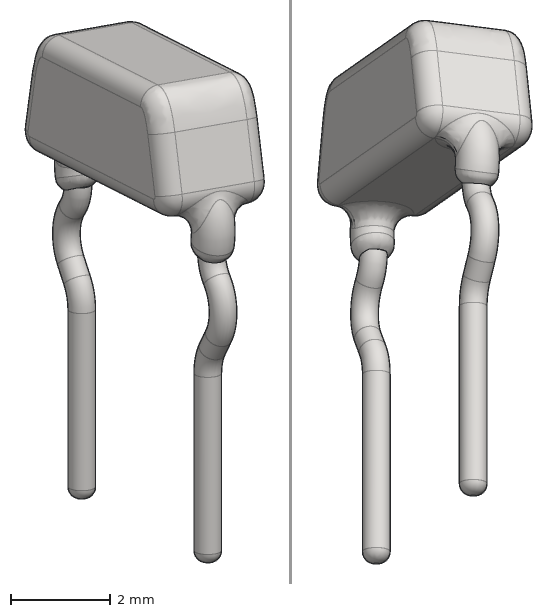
import cadquery as cq
import math

TOTAL_HEIGHT = 10.07
BODY_DEPTH = 2.5
BODY_BOTTOM = 7.45
BOTTOM_HALF_WIDTH = 3.05
FLANK_ANGLE = 13.0
TOP_FLAT_HALF_WIDTH = 1.95
SHOULDER_DROP = 0.82
EDGE_RADIUS = 0.4
BOTTOM_CORNER_RADIUS = 0.46

OVERALL_WIDTH = 6.8
LEAD_RADIUS = 0.28
LEAD_X = 2.51
STRAIGHT_TOP = 3.99
TIP_RADIUS = 0.24
BEND_X = OVERALL_WIDTH / 2 - LEAD_RADIUS
KINK_ANGLE = 36.0
RETURN_ANGLE = 43.0
LOWER_BEND_RADIUS = 0.96
OUTER_BEND_RADIUS = 0.91
UPPER_BEND_RADIUS = 0.81

COLLAR_RADIUS = 0.44
COLLAR_BOTTOM = (2.59, 6.51)
COLLAR_MIDDLE = (2.72, 7.15)
COLLAR_TOP = (2.32, 7.9)
COLLAR_END_RADIUS = 0.3
ROOT_FILLET = 0.4

SEAM_INNER_X = 1.51
SEAM_OUTER_X = 3.52
SEAM_HALF_DEPTH = 0.55
SEAM_LOW_Z = 7.4
SEAM_HIGH_Z = 8.56


def flank_x(z):
    """Half width of the unrounded body at height z."""
    return BOTTOM_HALF_WIDTH - (z - BODY_BOTTOM) * math.tan(math.radians(FLANK_ANGLE))


def make_body():
    """Tapered block with soft shoulders and rounded edges all round."""
    shoulder_z = TOTAL_HEIGHT - SHOULDER_DROP
    shoulder_x = flank_x(shoulder_z)
    corner_x = flank_x(TOTAL_HEIGHT)
    body = (
        cq.Workplane("XZ", origin=(0, BODY_DEPTH / 2, 0))
        .moveTo(-BOTTOM_HALF_WIDTH, BODY_BOTTOM)
        .lineTo(BOTTOM_HALF_WIDTH, BODY_BOTTOM)
        .lineTo(shoulder_x, shoulder_z)
        .bezier([
            (shoulder_x, shoulder_z),
            (corner_x, TOTAL_HEIGHT),
            (TOP_FLAT_HALF_WIDTH, TOTAL_HEIGHT),
        ])
        .lineTo(-TOP_FLAT_HALF_WIDTH, TOTAL_HEIGHT)
        .bezier([
            (-TOP_FLAT_HALF_WIDTH, TOTAL_HEIGHT),
            (-corner_x, TOTAL_HEIGHT),
            (-shoulder_x, shoulder_z),
        ])
        .close()
        .extrude(BODY_DEPTH)
    )
    body = body.edges("|Y and <Z").fillet(BOTTOM_CORNER_RADIUS)
    return body.faces("<Y or >Y").edges().fillet(EDGE_RADIUS)


def arc_point(center, radius, angle):
    """Point on a circle in XZ, at an angle in degrees measured from +X towards +Z."""
    turn = math.radians(angle)
    return (center[0] + radius * math.cos(turn), center[1] + radius * math.sin(turn))


def make_lead_path():
    """Wire axis above the straight leg: three tangent bends and one slanted run."""
    lower_center = (LEAD_X + LOWER_BEND_RADIUS, STRAIGHT_TOP)
    lower_middle = arc_point(lower_center, LOWER_BEND_RADIUS, 180 - KINK_ANGLE / 2)
    slant_start = arc_point(lower_center, LOWER_BEND_RADIUS, 180 - KINK_ANGLE)

    outer_center_x = BEND_X - OUTER_BEND_RADIUS
    slant_end_x = outer_center_x + OUTER_BEND_RADIUS * math.cos(math.radians(KINK_ANGLE))
    slant_rise = (slant_end_x - slant_start[0]) / math.tan(math.radians(KINK_ANGLE))
    slant_end = (slant_end_x, slant_start[1] + slant_rise)
    bend_z = slant_end[1] + OUTER_BEND_RADIUS * math.sin(math.radians(KINK_ANGLE))
    outer_center = (outer_center_x, bend_z)
    outer_end = arc_point(outer_center, OUTER_BEND_RADIUS, RETURN_ANGLE)

    upper_center = arc_point(outer_center, OUTER_BEND_RADIUS + UPPER_BEND_RADIUS, RETURN_ANGLE)
    upper_middle = arc_point(upper_center, UPPER_BEND_RADIUS, 180 + RETURN_ANGLE / 2)
    upper_end = arc_point(upper_center, UPPER_BEND_RADIUS, 180)

    return (
        cq.Workplane("XZ")
        .moveTo(LEAD_X, STRAIGHT_TOP)
        .threePointArc(lower_middle, slant_start)
        .lineTo(*slant_end)
        .threePointArc((BEND_X, bend_z), outer_end)
        .threePointArc(upper_middle, upper_end)
    )


def make_lead():
    """Right-hand wire: straight leg with a rounded tip and an outward kink."""
    leg = (
        cq.Workplane("XY")
        .center(LEAD_X, 0)
        .circle(LEAD_RADIUS)
        .extrude(STRAIGHT_TOP)
        .faces("<Z")
        .edges()
        .fillet(TIP_RADIUS)
    )
    kink = (
        cq.Workplane("XY", origin=(LEAD_X, 0, STRAIGHT_TOP))
        .circle(LEAD_RADIUS)
        .sweep(make_lead_path())
    )
    return leg.union(kink)


def make_collar():
    """Right-hand curved collar, rounded where the wire leaves it."""
    path = cq.Workplane("XZ").moveTo(*COLLAR_BOTTOM).threePointArc(COLLAR_MIDDLE, COLLAR_TOP)
    start = path.val().startPoint()
    direction = path.val().tangentAt(0)
    collar = (
        cq.Workplane(cq.Plane(origin=start, xDir=(0, 1, 0), normal=direction))
        .circle(COLLAR_RADIUS)
        .sweep(path)
    )
    return collar.faces("<Z").edges().fillet(COLLAR_END_RADIUS)


def mirrored_pair(part):
    """The part together with its mirror image at the other end."""
    return part.union(part.mirror("YZ"))


def make_coated_body():
    """Body and collars, blended together along the seams where they meet."""
    coated = make_body().union(mirrored_pair(make_collar()))
    seam_boxes = [
        cq.selectors.BoxSelector(
            (side * SEAM_INNER_X, -SEAM_HALF_DEPTH, SEAM_LOW_Z),
            (side * SEAM_OUTER_X, SEAM_HALF_DEPTH, SEAM_HIGH_Z),
            boundingbox=True,
        )
        for side in (-1, 1)
    ]
    for box in seam_boxes:
        coated = coated.edges(box).fillet(ROOT_FILLET)
    return coated


result = make_coated_body().union(mirrored_pair(make_lead()))